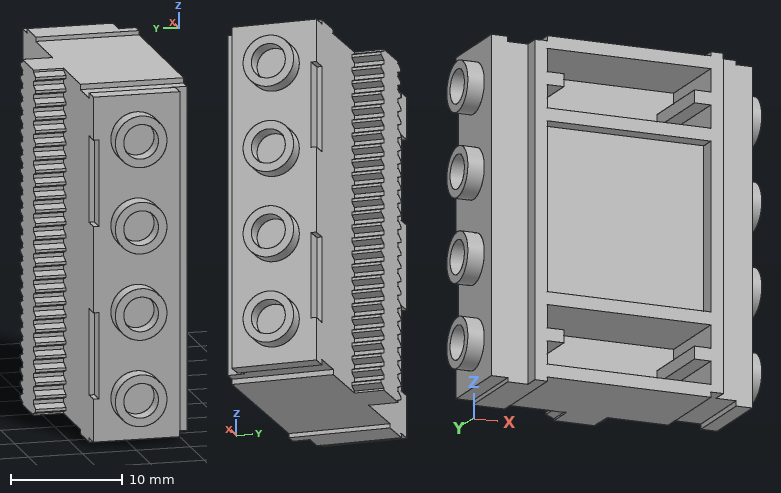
import cadquery as cq

pitch = 8.0
step = 1.6
wall = 1.2

body_width = 25.6
body_height = 4 * pitch
body_depth = pitch
opening_width = 2 * pitch
frame_width = opening_width + 2 * wall
front_y = -body_depth - step

tongue_height = 0.4
groove_depth = 0.5
band_inner = opening_width / 2
band_outer = body_width / 2 - step

panel_height = 2 * pitch
panel_depth = step
pocket_height = (body_height - panel_height) / 2 - 2 * wall
pocket_depth = body_depth + step - wall
pocket_z = 1.5 * pitch

notch_width = step
notch_depth = 0.5
notch_height = pitch
notch_z = pitch

stud_diameter = 4.8
stud_bore = 3.2
stud_heights = [(row - 1.5) * pitch for row in range(4)]

rack_depth = 2.8
rack_core_width = 4.0
tooth_height = 0.8
tooth_count = 26
tooth_pitch = body_height / tooth_count
tooth_tip = 0.25
tooth_gap = 0.35
tooth_root = tooth_pitch - tooth_gap


def box(x0, x1, y0, y1, z0, z1):
    """Box between two opposite corners."""
    return cq.Workplane("XY").box(x1 - x0, y1 - y0, z1 - z0, centered=False).translate((x0, y0, z0))


def front_box(x0, x1, depth, z_center, height):
    """Box reaching back from the front face of the frame."""
    return box(x0, x1, front_y, front_y + depth, z_center - height / 2, z_center + height / 2)


def make_body():
    """Block with a raised front frame, one side shifted up and the other down to interlock."""
    half_width = body_width / 2
    half_frame = frame_width / 2
    profile = (
        cq.Workplane("XY")
        .polyline([
            (-half_width, 0),
            (half_width, 0),
            (half_width, -body_depth),
            (half_frame, -body_depth),
            (half_frame, front_y),
            (-half_frame, front_y),
            (-half_frame, -body_depth),
            (-half_width, -body_depth),
        ])
        .close()
    )
    top = body_height / 2
    reach = top + tongue_height
    block = profile.extrude(2 * reach).translate((0, 0, -reach))

    block = block.cut(box(-half_width, band_inner, front_y, 0, top, reach))
    block = block.cut(box(band_outer, half_width, front_y, 0, top, reach))
    block = block.cut(box(-half_width, -band_outer, front_y, 0, -reach, -top))
    block = block.cut(box(-band_inner, half_width, front_y, 0, -reach, -top))

    block = block.cut(box(-band_outer, -band_inner, front_y, 0, top - groove_depth, top))
    return block.cut(box(band_inner, band_outer, front_y, 0, -top, groove_depth - top))


def cut_front_recesses(block):
    """Shallow central panel and two deep end pockets with a pair of tabs in each."""
    half_opening = opening_width / 2
    tab_end = half_opening - step
    block = block.cut(front_box(-half_opening, half_opening, panel_depth, 0, panel_height))
    for z in (-pocket_z, pocket_z):
        pocket = front_box(-half_opening, half_opening, pocket_depth, z, pocket_height)
        pocket = pocket.cut(front_box(-half_opening, -tab_end, pocket_depth, z, wall))
        pocket = pocket.cut(front_box(tab_end, half_opening, pocket_depth, z, wall))
        block = block.cut(pocket)
    return block


def cut_rear_notches(block):
    """Two shallow notches at the rear edge of each side."""
    half_width = body_width / 2
    inner_x = half_width - notch_width
    for z in (-notch_z, notch_z):
        bottom = z - notch_height / 2
        top = z + notch_height / 2
        block = block.cut(box(-half_width, -inner_x, -notch_depth, 0, bottom, top))
        block = block.cut(box(inner_x, half_width, -notch_depth, 0, bottom, top))
    return block


def add_studs(block):
    """Hollow studs in a row on both sides."""
    for side in (-1, 1):
        for z in stud_heights:
            base = cq.Plane((side * body_width / 2, -body_depth / 2, z), xDir=(0, 1, 0), normal=(side, 0, 0))
            tube = cq.Workplane(base).circle(stud_diameter / 2).circle(stud_bore / 2).extrude(step)
            block = block.union(tube)
    return block


def make_rack():
    """Toothed bar whose identical teeth point towards -X and +X."""
    core_x = rack_core_width / 2
    tip_x = core_x + tooth_height
    half_height = body_height / 2
    right_side = [(core_x, -half_height)]
    for tooth in range(tooth_count):
        z = (tooth + 0.5) * tooth_pitch - half_height
        right_side += [
            (core_x, z - tooth_root / 2),
            (tip_x, z - tooth_tip / 2),
            (tip_x, z + tooth_tip / 2),
            (core_x, z + tooth_root / 2),
        ]
    right_side.append((core_x, half_height))
    left_side = [(-x, z) for x, z in reversed(right_side)]
    return cq.Workplane("XZ").polyline(right_side + left_side).close().extrude(-rack_depth)


body = make_body()
body = cut_front_recesses(body)
body = cut_rear_notches(body)
body = add_studs(body)
result = body.union(make_rack())